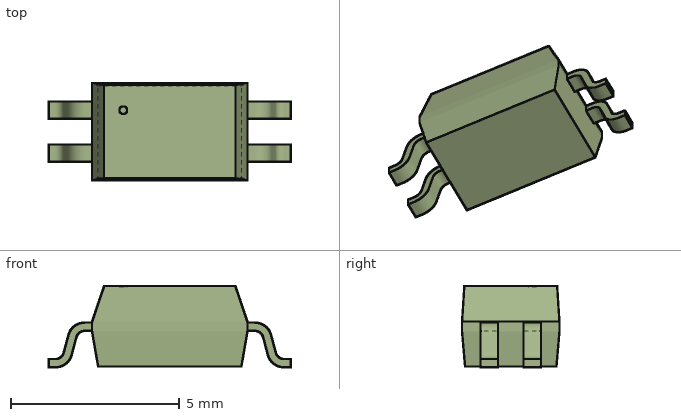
import cadquery as cq
import math


belt_length = 4.615
belt_width = 2.9
belt_height = 0.3
top_length = 3.9
top_width = 2.76
bottom_length = 4.26
bottom_width = 2.72
standoff = 0.02
package_top = 2.42
belt_center_z = 1.21
belt_bottom_z = belt_center_z - belt_height / 2
belt_top_z = belt_center_z + belt_height / 2

marker_diameter = 0.23
marker_depth = 0.035
marker_x = -1.38

lead_span = 7.19
lead_width = 0.52
lead_thickness = 0.25
lead_pitch = 1.27
inner_radius = 0.25
outer_radius = inner_radius + lead_thickness
bend_angle = math.radians(75)
foot_flat = 0.2
lead_top_z = belt_center_z + lead_thickness / 2
marker_y = lead_pitch / 2


def frustum(length, width, end_length, end_width, start_z, end_z):
    """Solid with a rectangle at start_z that tapers to another at end_z."""
    return (
        cq.Workplane("XY", origin=(0, 0, start_z))
        .rect(length, width)
        .workplane(offset=end_z - start_z)
        .rect(end_length, end_width)
        .loft(ruled=True, combine=True)
    )


def make_marker():
    """Disc that fills the recess in the top of the housing."""
    return (
        cq.Workplane("XY", origin=(marker_x, marker_y, package_top - marker_depth))
        .circle(marker_diameter / 2)
        .extrude(marker_depth)
    )


def make_housing():
    """Vertical-sided belt with tapered halves above and below it."""
    belt = cq.Workplane("XY", origin=(0, 0, belt_bottom_z)).rect(belt_length, belt_width).extrude(belt_height)
    upper = frustum(belt_length, belt_width, top_length, top_width, belt_top_z, package_top)
    lower = frustum(belt_length, belt_width, bottom_length, bottom_width, belt_bottom_z, standoff)
    return belt.union(upper).union(lower).cut(make_marker())


def make_lead(y):
    """Gull-wing lead on the -X end, centred on the given y."""
    mean_radius = inner_radius + lead_thickness / 2
    bend_rise = mean_radius * (1 - math.cos(bend_angle))
    bend_run = mean_radius * math.sin(bend_angle)
    shank_rise = lead_top_z - lead_thickness - 2 * bend_rise
    shank_run = shank_rise / math.tan(bend_angle)

    tip_x = -lead_span / 2
    root_x = -belt_length / 2
    lower_x = tip_x + foot_flat
    upper_x = lower_x + 2 * bend_run + shank_run
    lower_z = outer_radius
    upper_z = lead_top_z - outer_radius

    def on_lower_bend(radius, angle):
        return (lower_x + radius * math.sin(angle), lower_z - radius * math.cos(angle))

    def on_upper_bend(radius, angle):
        return (upper_x - radius * math.sin(angle), upper_z + radius * math.cos(angle))

    half_bend = bend_angle / 2
    return (
        cq.Workplane("XZ", origin=(0, y + lead_width / 2, 0))
        .moveTo(tip_x, 0)
        .lineTo(*on_lower_bend(outer_radius, 0))
        .threePointArc(on_lower_bend(outer_radius, half_bend), on_lower_bend(outer_radius, bend_angle))
        .lineTo(*on_upper_bend(inner_radius, bend_angle))
        .threePointArc(on_upper_bend(inner_radius, half_bend), on_upper_bend(inner_radius, 0))
        .lineTo(root_x, lead_top_z - lead_thickness)
        .lineTo(root_x, lead_top_z)
        .lineTo(*on_upper_bend(outer_radius, 0))
        .threePointArc(on_upper_bend(outer_radius, half_bend), on_upper_bend(outer_radius, bend_angle))
        .lineTo(*on_lower_bend(inner_radius, bend_angle))
        .threePointArc(on_lower_bend(inner_radius, half_bend), on_lower_bend(inner_radius, 0))
        .lineTo(tip_x, lead_thickness)
        .close()
        .extrude(lead_width)
    )


housing = make_housing()
marker = make_marker()

leads = []
for lead_y in (-lead_pitch / 2, lead_pitch / 2):
    left_lead = make_lead(lead_y)
    leads.append(left_lead.val())
    leads.append(left_lead.mirror("YZ").val())

result = cq.Compound.makeCompound([housing.val(), marker.val(), *leads])